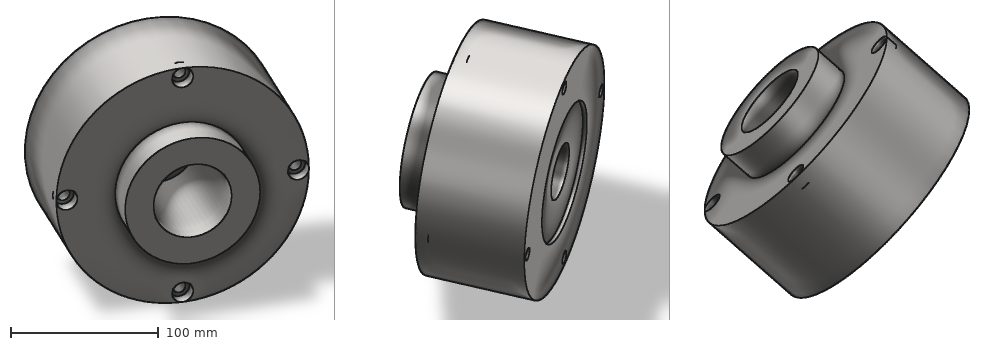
import cadquery as cq

body_diameter = 178.0
body_length = 77.6
hub_diameter = 95.0
total_length = 102.0
bore_diameter = 40.0
recess_diameter = 100.0
recess_depth = 3.0
bore_wall = 14.0
hub_bore_diameter = 55.0
bolt_count = 4
bolt_circle_radius = 81.5
bolt_hole_diameter = 9.0
counterbore_diameter = 14.8
counterbore_depth = 9.0


def cylinder(start_x, length, diameter):
    """Cylinder on the X axis, growing toward +X from start_x."""
    return cq.Workplane("YZ", origin=(start_x, 0, 0)).circle(diameter / 2).extrude(length)


def bolt_cylinders(start_x, length, diameter):
    """Ring of cylinders parallel to X at the bolt positions."""
    return (
        cq.Workplane("YZ", origin=(start_x, 0, 0))
        .polarArray(bolt_circle_radius, 0, 360, bolt_count)
        .circle(diameter / 2)
        .extrude(length)
    )


result = cylinder(0, body_length, body_diameter)
result = result.union(cylinder(0, total_length, hub_diameter))

result = result.cut(cylinder(0, total_length, bore_diameter))
result = result.cut(cylinder(0, recess_depth, recess_diameter))

hub_bore_start = recess_depth + bore_wall
result = result.cut(cylinder(hub_bore_start, total_length - hub_bore_start, hub_bore_diameter))

result = result.cut(bolt_cylinders(0, body_length, bolt_hole_diameter))
counterbore_start = body_length - counterbore_depth
result = result.cut(bolt_cylinders(counterbore_start, counterbore_depth, counterbore_diameter))